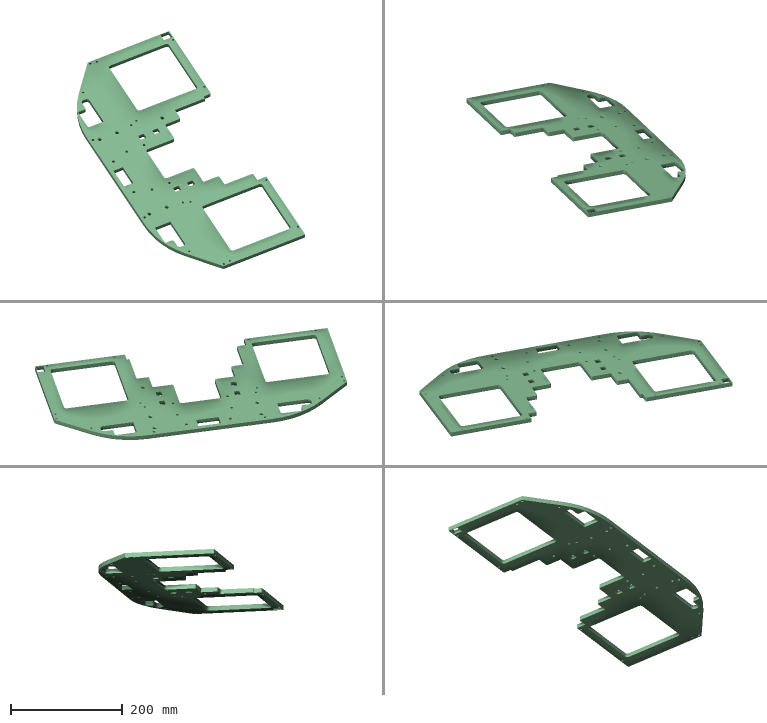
import cadquery as cq
import math

width = 536.0
depth = 245.0
thickness = 8.0
half_width = width / 2

front_edge_half = 114.5
sweep_radius = 151.0
bevel_angle = math.radians(39.2)

recess_half = 38.0
recess_floor = 81.0
inner_step_half = 75.5
inner_step_y = 139.0
outer_step_half = 98.0
outer_step_y = 170.0
left_tab_x = 103.0
left_tab_y = 230.0
right_tab_x = 115.0
right_tab_y = 226.5
recess_corner_radius = 2.5
recess_floor_radius = 4.5

window_width = 118.0
window_height = 120.0
window_x = 184.5
window_y = 170.0
window_radius = 5.0

corner_opening_right = -253.0
corner_opening_front = right_tab_y
corner_side_wall = 1.0
corner_back_wall = 1.5
corner_opening_radius = 2.0

square_width = 10.0
square_height = 11.0
square_x = 68.5
square_centers_y = (89.5, 117.5)
square_radius = 1.5
center_slot_width = 41.0
center_slot_height = 19.0
center_slot_y = 16.5

slot_inner_x = 132.0
slot_step_x = 172.0
slot_outer_x = 193.0
slot_back_y = 44.0
slot_step_y = 29.0
slot_front_y = 13.0
slot_end_radius = 6.0
slot_corner_radius = 3.0

mirrored_holes = (
    (3.8, ((246.0, 241.5), (122.5, 241.5), (262.0, 97.0), (106.5, 97.0), (209.0, 42.5))),
    (4.2, ((263.5, 84.0), (102.0, 84.0))),
    (4.95, ((102.0, 7.5), (50.0, 83.5), (50.0, 49.0))),
    (5.5, ((40.0, 17.0),)),
)

bore_diameter = 5.5
countersink_diameter = 8.5
countersink_angle = 90
countersink_x = 98.0
countersink_centers_y = (54.0, 19.5)
left_countersink = (-92.0, 142.0)


def box(left, right, front, back):
    """Full-thickness block between the given X and Y limits."""
    return cq.Workplane("XY").box(
        right - left, back - front, thickness, centered=False
    ).translate((left, front, 0))


def centered_opening(x, y, size_x, size_y):
    return box(x - size_x / 2, x + size_x / 2, y - size_y / 2, y + size_y / 2)


def make_plate():
    """Plate outline with swept front corners and the stepped back recess."""
    tangent_x = front_edge_half + sweep_radius * math.sin(bevel_angle)
    tangent_y = sweep_radius * (1 - math.cos(bevel_angle))
    middle_x = front_edge_half + sweep_radius * math.sin(bevel_angle / 2)
    middle_y = sweep_radius * (1 - math.cos(bevel_angle / 2))
    bevel_end_y = tangent_y + (half_width - tangent_x) * math.tan(bevel_angle)
    outline = (
        cq.Workplane("XY")
        .moveTo(-front_edge_half, 0)
        .lineTo(front_edge_half, 0)
        .threePointArc((middle_x, middle_y), (tangent_x, tangent_y))
        .lineTo(half_width, bevel_end_y)
        .lineTo(half_width, depth)
        .lineTo(right_tab_x, depth)
        .lineTo(right_tab_x, right_tab_y)
        .lineTo(outer_step_half, right_tab_y)
        .lineTo(outer_step_half, outer_step_y)
        .lineTo(inner_step_half, outer_step_y)
        .lineTo(inner_step_half, inner_step_y)
        .lineTo(recess_half, inner_step_y)
        .lineTo(recess_half, recess_floor)
        .lineTo(-recess_half, recess_floor)
        .lineTo(-recess_half, inner_step_y)
        .lineTo(-inner_step_half, inner_step_y)
        .lineTo(-inner_step_half, outer_step_y)
        .lineTo(-outer_step_half, outer_step_y)
        .lineTo(-outer_step_half, left_tab_y)
        .lineTo(-left_tab_x, left_tab_y)
        .lineTo(-left_tab_x, depth)
        .lineTo(-half_width, depth)
        .lineTo(-half_width, bevel_end_y)
        .lineTo(-tangent_x, tangent_y)
        .threePointArc((-middle_x, middle_y), (-front_edge_half, 0))
        .close()
    )
    plate = outline.extrude(thickness)
    step_corners = mirrored([(recess_half, inner_step_y), (inner_step_half, outer_step_y)])
    step_corners += [(-left_tab_x, depth), (outer_step_half, right_tab_y)]
    plate = round_corners(plate, step_corners, recess_corner_radius)
    return round_corners(plate, mirrored([(recess_half, recess_floor)]), recess_floor_radius)


def round_corners(body, points, radius):
    """Fillet the vertical edges standing at the given points."""
    for x, y in points:
        corner = cq.selectors.NearestToPointSelector((x, y, thickness / 2))
        body = body.edges("|Z").edges(corner).fillet(radius)
    return body


def make_l_slot():
    """Cutter for the L-shaped slot on the right-hand side."""
    arm = box(slot_inner_x, slot_outer_x, slot_step_y, slot_back_y)
    arm = arm.edges("|Z and >X").fillet(slot_end_radius)
    deep_end = box(slot_inner_x, slot_step_x, slot_front_y, slot_back_y)
    deep_end = deep_end.edges("|Z and <Y").fillet(slot_corner_radius)
    slot = arm.union(deep_end)
    return round_corners(slot, [(slot_step_x, slot_step_y)], slot_corner_radius)


def drill(plate, diameter, points):
    holes = cq.Workplane("XY").pushPoints(points).circle(diameter / 2)
    return plate.cut(holes.extrude(thickness))


def mirrored(points):
    return [(side * x, y) for side in (-1, 1) for x, y in points]


result = make_plate()

for x, y in mirrored([(window_x, window_y)]):
    window = centered_opening(x, y, window_width, window_height)
    result = result.cut(window.edges("|Z").fillet(window_radius))

corner_opening = box(
    -half_width + corner_side_wall,
    corner_opening_right,
    corner_opening_front,
    depth - corner_back_wall,
)
result = result.cut(corner_opening.edges("|Z").edges("<X").edges(">Y").fillet(corner_opening_radius))

for x, y in mirrored([(square_x, y) for y in square_centers_y]):
    square = centered_opening(x, y, square_width, square_height)
    result = result.cut(square.edges("|Z").fillet(square_radius))

result = result.cut(centered_opening(0, center_slot_y, center_slot_width, center_slot_height))

l_slot = make_l_slot()
result = result.cut(l_slot).cut(l_slot.mirror("YZ"))

for diameter, points in mirrored_holes:
    result = drill(result, diameter, mirrored(points))

countersunk = mirrored([(countersink_x, y) for y in countersink_centers_y]) + [left_countersink]
result = (
    result.faces(">Z")
    .workplane(origin=(0, 0, thickness))
    .pushPoints(countersunk)
    .cskHole(bore_diameter, countersink_diameter, countersink_angle)
)